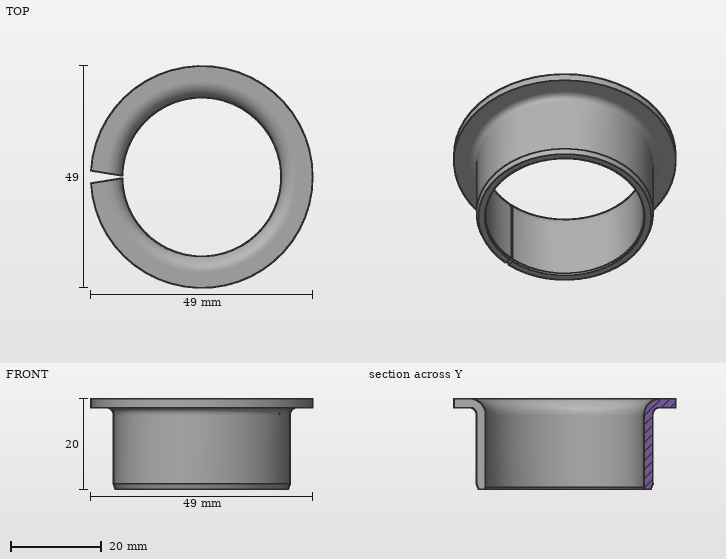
import cadquery as cq
import math

flange_radius = 24.5
height = 20.0
wall = 2.0
bore_radius = 17.5
sleeve_radius = bore_radius + wall
flange_underside = height - wall

outer_bend = 1.45
inner_bend = outer_bend + wall
bend_centre_radius = sleeve_radius + outer_bend
bend_centre_z = flange_underside - outer_bend

taper_height = 1.22
taper_angle = 20.0
taper_depth = taper_height * math.tan(math.radians(taper_angle))

bore_chamfer_height = 0.5
bore_chamfer_depth = 0.2

slit_half_width_at_bore = 0.25
slit_half_width_at_rim = 1.35
slit_margin = 1.0


def bend_midpoint(radius):
    """Middle of a quarter bend, in (radius, Z) coordinates."""
    offset = radius * math.sqrt(0.5)
    return bend_centre_radius - offset, bend_centre_z + offset


def make_body():
    """Revolve the bent wall section around Z."""
    return (
        cq.Workplane("XZ")
        .moveTo(bore_radius, bore_chamfer_height)
        .lineTo(bore_radius + bore_chamfer_depth, 0)
        .lineTo(sleeve_radius - taper_depth, 0)
        .lineTo(sleeve_radius, taper_height)
        .lineTo(sleeve_radius, bend_centre_z)
        .threePointArc(bend_midpoint(outer_bend), (bend_centre_radius, flange_underside))
        .lineTo(flange_radius, flange_underside)
        .lineTo(flange_radius, height)
        .lineTo(bend_centre_radius, height)
        .threePointArc(bend_midpoint(inner_bend), (bore_radius, bend_centre_z))
        .close()
        .revolve(360, (0, 0, 0), (0, 1, 0))
        .rotate((0, 0, 0), (0, 0, 1), 180)
    )


def make_slit():
    """Triangular prism whose point lies just inside the bore."""
    slope = (slit_half_width_at_rim - slit_half_width_at_bore) / (flange_radius - bore_radius)
    tip_radius = bore_radius - slit_half_width_at_bore / slope
    end_radius = flange_radius + slit_margin
    end_half_width = slope * (end_radius - tip_radius)
    return (
        cq.Workplane("XY")
        .polyline([
            (-tip_radius, 0),
            (-end_radius, end_half_width),
            (-end_radius, -end_half_width),
        ])
        .close()
        .extrude(height)
    )


result = make_body().cut(make_slit())